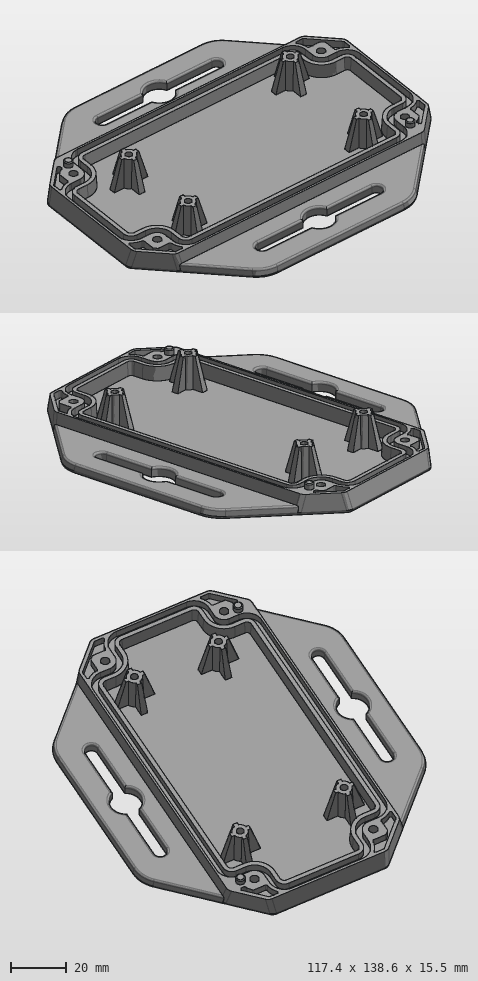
import cadquery as cq
import math

half_width = 58.7
half_length = 69.3
corner_sum = 92.6

base_height = 1.2
floor_height = 2.5
flange_height = 3.7
body_height = 8.0
peg_height = 10.4
post_height = 15.5

outer_draft = 15.0
diagonal_draft = 6.0
body_half_width = 36.8
body_corner_radius = 3.0
flange_corner_radius = 12.5
flange_edge_radius = 0.8
base_edge_radius = 1.18
root_two = math.sqrt(2)

groove_half_width = 34.1
groove_half_length = 66.5
notch_x = 20.1
notch_y = 52.7
outer_bend_radius = 6.0
notch_bend_radius = 4.0
groove_width = 2.5
groove_depth = 3.0
lip_width = 1.7
cavity_draft = 4.0

screw_x = 24.1
screw_y = 56.6
screw_radius = 1.7
screw_boss = 4.3
boss_bevel = 1.4
peg_x = 29.0
peg_y = 55.0
peg_radius = 1.73
peg_chamfer = 0.4
pocket_sum = 89.6
pocket_x = 33.7
pocket_y = 66.3
pocket_depth = 3.0
pocket_wall = 1.4
pocket_corner_radius = 0.5

slot_x = 46.0
slot_end = 26.1
slot_radius = 2.5
keyhole_radius = 6.0

post_places = [(-21.1, 40.1), (21.1, 40.1), (-13.0, -40.1), (21.1, -40.1)]
post_base_radius = 3.5
post_top_radius = 2.9
fin_base_reach = 7.6
fin_top_reach = 3.9
fin_base_thickness = 2.6
fin_top_thickness = 1.7
post_hole_radius = 1.4
post_hole_depth = 8.3
post_hole_draft = 3.0


def octagon(half_x, half_y, diagonal_sum):
    """Corner points of an octagon with 45 degree corners, anticlockwise from the right side."""
    side_y = diagonal_sum - half_x
    end_x = diagonal_sum - half_y
    quarter = [(half_x, side_y), (end_x, half_y)]
    upper = quarter + [(-x, y) for x, y in reversed(quarter)]
    return upper + [(-x, -y) for x, y in upper]


def drafted_octagon(half_x, half_y, height, diagonal_angle):
    """Octagonal block from the top of the base up to a height, its walls leaning inward."""
    rise = height - base_height
    inset = rise * math.tan(math.radians(outer_draft))
    diagonal_inset = rise * math.tan(math.radians(diagonal_angle)) * root_two
    top = octagon(half_x - inset, half_y - inset, corner_sum - diagonal_inset)
    return (
        cq.Workplane("XY", origin=(0, 0, base_height))
        .polyline(octagon(half_x, half_y, corner_sum)).close()
        .workplane(offset=rise)
        .polyline(top).close()
        .loft(ruled=True)
    )


def make_base():
    plate = (
        cq.Workplane("XY")
        .polyline(octagon(half_width, half_length, corner_sum)).close()
        .extrude(base_height)
    )
    plate = plate.edges("|Z and (>X or <X)").fillet(flange_corner_radius)
    plate = plate.edges("|Z and (>Y or <Y)").fillet(body_corner_radius)
    return plate.faces("<Z").edges().fillet(base_edge_radius)


def make_flanges():
    block = drafted_octagon(half_width, half_length, flange_height, outer_draft)
    block = block.edges("not #Z").edges(">X or <X").fillet(flange_corner_radius)
    block = block.faces(">Z").edges().fillet(flange_edge_radius)
    side_length = 2 * (corner_sum - body_half_width)
    return block.intersect(cq.Workplane("XY").box(2 * half_width, side_length, 4 * flange_height))


def make_body():
    block = drafted_octagon(body_half_width, half_length, body_height, diagonal_draft)
    return block.edges("not #Z").fillet(body_corner_radius)


def cross_outline(inset):
    """Rectangle with a rounded notch at each corner, moved inward by an inset."""
    half_x = groove_half_width - inset
    half_y = groove_half_length - inset
    step_x = notch_x - inset
    step_y = notch_y - inset
    quarter = [(half_x, step_y), (step_x, step_y), (step_x, half_y)]
    upper = quarter + [(-x, y) for x, y in reversed(quarter)]
    points = upper + [(-x, -y) for x, y in upper]
    outside = "<X or >X or <Y or >Y"
    return (
        cq.Sketch()
        .polygon(points + points[:1])
        .vertices(f"not ({outside})").fillet(notch_bend_radius + inset).reset()
        .vertices(outside).fillet(outer_bend_radius - inset).reset()
    )


def make_cavity():
    """Drafted interior, widest at the rim of the lip."""
    inset = groove_width + lip_width
    depth = body_height - floor_height
    return (
        cq.Workplane("XY", origin=(0, 0, body_height))
        .placeSketch(cross_outline(inset))
        .extrude(-depth, taper=cavity_draft)
    )


def make_groove():
    top = cq.Workplane("XY", origin=(0, 0, body_height))
    outer = top.placeSketch(cross_outline(0)).extrude(-groove_depth)
    inner = top.placeSketch(cross_outline(groove_width)).extrude(-groove_depth)
    return outer.cut(inner)


def make_pocket(beside_peg):
    """Pocket in the +X +Y corner; the shorter one stops before the locating peg."""
    boss_x = screw_x + screw_boss
    boss_y = screw_y + screw_boss
    bend_x = notch_x - outer_bend_radius
    bend_y = notch_y - outer_bend_radius
    if beside_peg:
        side = [(30.6, pocket_sum - 30.6), (30.6, 58.0), (28.7, 58.0), (28.5, 58.8), (26.9, boss_y)]
    else:
        side = [
            (pocket_x, pocket_sum - pocket_x),
            (pocket_x, bend_y),
            (boss_x, bend_y),
            (boss_x, boss_y - boss_bevel),
            (boss_x - boss_bevel, boss_y),
        ]
    end = [(bend_x, boss_y), (bend_x, pocket_y), (pocket_sum - pocket_y, pocket_y)]
    bends = [
        (bend_x, groove_half_length - outer_bend_radius),
        (groove_half_width - outer_bend_radius, bend_y),
    ]
    top = cq.Workplane("XY", origin=(0, 0, body_height))
    pocket = top.polyline(side + end).close().extrude(-pocket_depth)
    walls = top.pushPoints(bends).circle(outer_bend_radius + pocket_wall).extrude(-pocket_depth)
    return pocket.cut(walls).edges("|Z").fillet(pocket_corner_radius)


def make_slot(x):
    """Keyhole slot through a flange."""
    start = cq.Workplane("XY", origin=(x, 0, 0))
    slot = start.slot2D(2 * (slot_end + slot_radius), 2 * slot_radius, 90).extrude(flange_height)
    return slot.union(start.circle(keyhole_radius).extrude(flange_height))


def make_post():
    """Conical post with four tapering fins and a blind screw hole."""
    height = post_height - floor_height
    floor = cq.Workplane("XY", origin=(0, 0, floor_height))
    post = floor.circle(post_base_radius).workplane(offset=height).circle(post_top_radius).loft()
    for angle in (0, 90):
        fin = (
            floor.rect(2 * fin_base_reach, fin_base_thickness)
            .workplane(offset=height)
            .rect(2 * fin_top_reach, fin_top_thickness)
            .loft()
        )
        post = post.union(fin.rotate((0, 0, 0), (0, 0, 1), angle))
    hole = (
        cq.Workplane("XY", origin=(0, 0, post_height))
        .circle(post_hole_radius)
        .extrude(-post_hole_depth, taper=post_hole_draft)
    )
    return post.cut(hole)


def make_peg():
    peg = cq.Workplane("XY", origin=(0, 0, floor_height)).circle(peg_radius).extrude(peg_height - floor_height)
    return peg.faces(">Z").chamfer(peg_chamfer)


result = make_base().union(make_flanges())

for x in (-slot_x, slot_x):
    result = result.cut(make_slot(x))
rim_zone = cq.selectors.BoxSelector
for x in (-slot_x, slot_x):
    low = (x - keyhole_radius - 1.4, -slot_end - slot_radius - 1.4, flange_height - 0.1)
    high = (x + keyhole_radius + 1.4, slot_end + slot_radius + 1.4, flange_height + 0.1)
    result = result.edges(rim_zone(low, high, boundingbox=True)).fillet(flange_edge_radius)

result = result.union(make_body())
result = result.cut(make_cavity()).cut(make_groove())

holes = (
    cq.Workplane("XY")
    .rect(2 * screw_x, 2 * screw_y, forConstruction=True)
    .vertices()
    .circle(screw_radius)
    .extrude(body_height)
)
result = result.cut(holes)

long_pocket = make_pocket(False).mirror("YZ")
short_pocket = make_pocket(True)
peg = make_peg().translate((peg_x, peg_y, 0))
for angle in (0, 180):
    result = result.cut(long_pocket.rotate((0, 0, 0), (0, 0, 1), angle))
    result = result.cut(short_pocket.rotate((0, 0, 0), (0, 0, 1), angle))
    result = result.union(peg.rotate((0, 0, 0), (0, 0, 1), angle))

for x, y in post_places:
    result = result.union(make_post().translate((x, y, 0)))